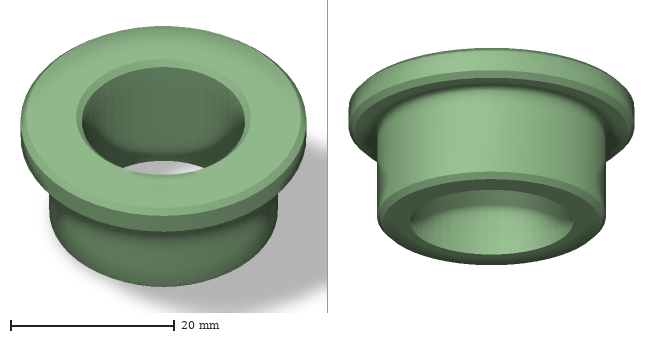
import cadquery as cq

flange_diameter = 35.0
body_diameter = 28.0
bore_diameter = 20.0
total_height = 16.0
flange_thickness = total_height / 4

chamfer = 0.7
neck_fillet = 0.5

flange_radius = flange_diameter / 2
body_radius = body_diameter / 2
bore_radius = bore_diameter / 2
flange_underside = total_height - flange_thickness

half_section = (
    cq.Workplane("XZ")
    .moveTo(bore_radius, 0)
    .lineTo(body_radius - chamfer, 0)
    .lineTo(body_radius, chamfer)
    .lineTo(body_radius, flange_underside - neck_fillet)
    .radiusArc((body_radius + neck_fillet, flange_underside), neck_fillet)
    .lineTo(flange_radius - chamfer, flange_underside)
    .lineTo(flange_radius, flange_underside + chamfer)
    .lineTo(flange_radius, total_height - chamfer)
    .lineTo(flange_radius - chamfer, total_height)
    .lineTo(bore_radius + chamfer, total_height)
    .lineTo(bore_radius, total_height - chamfer)
    .close()
)

result = half_section.revolve(360, (0, 0), (0, 1))